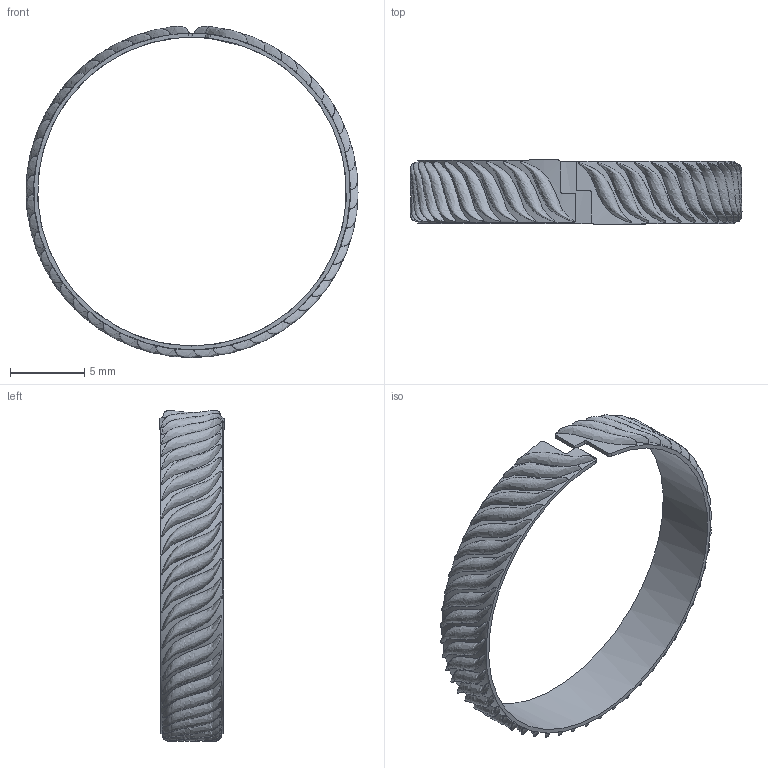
import cadquery as cq
import math

INNER_RADIUS = 10.40
BAND_THICKNESS = 0.26
BAND_WIDTH = 4.22
BAND_SKEW = 0.10
END_GAP = 0.01

STEP_LENGTH = 1.04
STEP_CLEARANCE = 0.20
STEP_FILLET = 0.15
OUTER_CORNER_FILLET = 0.20

RIDGE_COUNT = 50
OUTER_RADIUS = 11.17
RIDGE_ROOT_SINK = 0.12
FIRST_RIDGE_ANGLE = 10.65

RIDGE_STATIONS = [
    (0.00, 0.0, 2.95, 1.00),
    (1.00, 2.6, 2.50, 1.00),
    (1.50, 5.0, 1.90, 1.00),
    (1.75, 7.0, 1.35, 0.90),
    (1.92, 8.6, 0.80, 0.62),
    (2.00, 9.6, 0.15, 0.10),
]

BAND_RADIUS = INNER_RADIUS + BAND_THICKNESS
MID_RADIUS = INNER_RADIUS + BAND_THICKNESS / 2
RIDGE_HEIGHT = OUTER_RADIUS - BAND_RADIUS
RIDGE_PITCH_ANGLE = (360 - 2 * FIRST_RIDGE_ANGLE) / (RIDGE_COUNT - 1)

LOCAL_Z = cq.Vector(0, 0, 1)


def axial_shift(angle):
    """Axial position of the strip's centre line at an angle from the split."""
    return BAND_SKEW * (angle / 360 - 0.5)


def make_strip():
    """Rectangular strip swept along a very flat helix."""
    turn = 1 - END_GAP / (2 * math.pi * MID_RADIUS)
    path = cq.Wire.makeHelix(BAND_SKEW, BAND_SKEW * turn, MID_RADIUS)
    strip = (
        cq.Workplane("XZ")
        .center(MID_RADIUS, 0)
        .rect(BAND_THICKNESS, BAND_WIDTH)
        .sweep(cq.Workplane(path), isFrenet=True)
    )
    return strip.translate((0, 0, axial_shift(0)))


def make_notch(side):
    """Cutter for one end: side +1 cuts the low edge of the first end, -1 the high edge of the last end."""
    length = STEP_LENGTH + side * END_GAP / 2
    depth = BAND_WIDTH
    inner_corner = (MID_RADIUS, side * STEP_LENGTH, side * STEP_CLEARANCE / 2)
    return (
        cq.Workplane("YZ", origin=(INNER_RADIUS - BAND_THICKNESS, 0, 0))
        .center(side * (STEP_LENGTH - length / 2), side * (STEP_CLEARANCE - depth) / 2)
        .rect(length, depth)
        .extrude(3 * BAND_THICKNESS)
        .edges(cq.selectors.NearestToPointSelector(inner_corner))
        .fillet(STEP_FILLET)
    )


def make_band():
    """Strip with both ends notched into tongues and their outer corners rounded."""
    band = make_strip()
    for side in (1, -1):
        band = band.cut(make_notch(side))
    for side in (1, -1):
        tongue_tip = 0 if side > 0 else -END_GAP
        edge = BAND_WIDTH / 2
        corners = [
            (MID_RADIUS, side * STEP_LENGTH, -side * (edge + BAND_SKEW / 2)),
            (MID_RADIUS, tongue_tip, side * (edge - BAND_SKEW / 2)),
        ]
        for corner in corners:
            band = band.edges(cq.selectors.NearestToPointSelector(corner)).fillet(OUTER_CORNER_FILLET)
    return band


def ridge_section(z, angle, half_angle, height):
    """Half-elliptical ridge section standing on the band at one axial position."""
    a = math.radians(angle)
    outward = cq.Vector(math.cos(a), math.sin(a), 0)
    root = outward * (BAND_RADIUS - RIDGE_ROOT_SINK) + LOCAL_Z * z
    plane = cq.Plane(origin=root, xDir=outward.cross(LOCAL_Z), normal=LOCAL_Z)
    full_height = RIDGE_ROOT_SINK + height
    half_width = BAND_RADIUS * math.radians(half_angle) / math.sqrt(1 - (RIDGE_ROOT_SINK / full_height) ** 2)
    return (
        cq.Workplane(plane)
        .moveTo(-half_width, 0)
        .lineTo(half_width, 0)
        .ellipseArc(half_width, full_height, 0, 180, startAtCurrent=True)
        .close()
        .val()
    )


def make_ridge():
    """One ridge centred on local +X; its second half is the first turned half round."""
    lower = [(-z, angle, half, share) for z, angle, half, share in reversed(RIDGE_STATIONS)]
    upper = [(z, -angle, half, share) for z, angle, half, share in RIDGE_STATIONS[1:]]
    sections = [
        ridge_section(z, angle, half, share * RIDGE_HEIGHT)
        for z, angle, half, share in lower + upper
    ]
    return cq.Solid.makeLoft(sections)


def make_ridges():
    """All ridges around the band, each following the strip's axial shift."""
    ridge = make_ridge()
    ridges = []
    for index in range(RIDGE_COUNT):
        angle = FIRST_RIDGE_ANGLE + index * RIDGE_PITCH_ANGLE
        ridges.append(ridge.rotate(cq.Vector(), LOCAL_Z, angle).translate(LOCAL_Z * axial_shift(angle)))
    return cq.Compound.makeCompound(ridges)


ring = make_band().val().fuse(make_ridges())
result = cq.Workplane(ring.moved(cq.Location(cq.Plane.named("ZX"))))